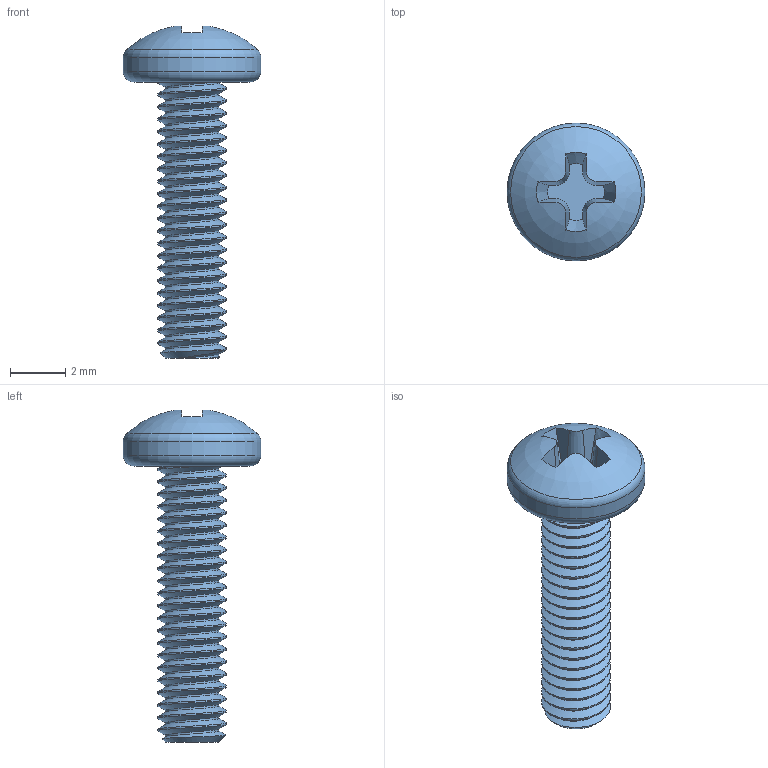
import cadquery as cq
import math


head_radius = 2.5
head_height = 2.1
dome_radius = 3.5
edge_radius = 0.4

major_radius = 1.25
pitch = 0.45
shank_length = 10.0
thread_half_angle = math.radians(30)
crest_width = pitch / 8
thread_depth = 0.6134 * pitch
root_radius = major_radius - thread_depth
crest_height_at_x = -pitch / 2
envelope_clearance = 0.1

recess_depth = 1.55
recess_floor = head_height - recess_depth
floor_half_width = 0.245
mouth_half_width = 0.365
mouth_height = 1.8
floor_tip_radius = 1.025
mouth_tip_radius = 1.44
corner_centre = 0.73
recess_top = head_height + 0.2


def taper(floor_size, mouth_size, z):
    """Size at height z of something that widens evenly from the floor to the dome edge."""
    slope = (mouth_size - floor_size) / (mouth_height - recess_floor)
    return floor_size + slope * (z - recess_floor)


def make_head():
    """Domed head: dome, edge round tangent to dome and rim, cylindrical rim, lower round."""
    dome_centre_z = head_height - dome_radius
    round_x = head_radius - edge_radius
    rise = math.sqrt((dome_radius - edge_radius) ** 2 - round_x**2)
    rim_top = dome_centre_z + rise
    dome_angle = math.atan2(rise, round_x)
    half_angle = dome_angle / 2
    dome_edge = (
        dome_radius * math.cos(dome_angle),
        dome_centre_z + dome_radius * math.sin(dome_angle),
    )
    edge_middle = (
        round_x + edge_radius * math.cos(half_angle),
        rim_top + edge_radius * math.sin(half_angle),
    )
    dome_middle_angle = (dome_angle + math.pi / 2) / 2
    dome_middle = (
        dome_radius * math.cos(dome_middle_angle),
        dome_centre_z + dome_radius * math.sin(dome_middle_angle),
    )
    lower_inset = edge_radius * (1 - math.sqrt(0.5))
    return (
        cq.Workplane("XZ")
        .lineTo(round_x, 0)
        .threePointArc((head_radius - lower_inset, lower_inset), (head_radius, edge_radius))
        .lineTo(head_radius, rim_top)
        .threePointArc(edge_middle, dome_edge)
        .threePointArc(dome_middle, (0, head_height))
        .close()
        .revolve(360, (0, 0, 0), (0, 1, 0))
    )


def quarter_turned(x, y, quarters):
    """The point (x, y) turned about the origin by a number of quarter turns."""
    for _ in range(quarters):
        x, y = -y, x
    return (x, y)


def cross_outline(z):
    """Four wings at height z, with a round in each of the inner corners."""
    half_width = taper(floor_half_width, mouth_half_width, z)
    wing_end = 2 * mouth_tip_radius
    round_middle = corner_centre - (corner_centre - half_width) * math.sqrt(0.5)
    outline = cq.Workplane("XY", origin=(0, 0, z)).moveTo(wing_end, -half_width)
    for quarter in range(4):
        outline = (
            outline.lineTo(*quarter_turned(wing_end, half_width, quarter))
            .lineTo(*quarter_turned(corner_centre, half_width, quarter))
            .threePointArc(
                quarter_turned(round_middle, round_middle, quarter),
                quarter_turned(half_width, corner_centre, quarter),
            )
        )
        if quarter < 3:
            outline = outline.lineTo(*quarter_turned(half_width, wing_end, quarter))
    return outline.close().val()


def make_recess():
    """Tapered cross with its wing tips trimmed to a cone."""
    cross = cq.Solid.makeLoft([cross_outline(recess_floor), cross_outline(recess_top)], True)
    tip_cone = cq.Solid.makeCone(
        floor_tip_radius,
        taper(floor_tip_radius, mouth_tip_radius, recess_top),
        recess_top - recess_floor,
        pnt=cq.Vector(0, 0, recess_floor),
    )
    return cq.Workplane(cross).intersect(cq.Workplane(tip_cone))


def helix_edge(radius, z):
    """One right-handed turn of the thread helix, starting on the +X side at height z."""
    turn = cq.Wire.makeHelix(pitch, pitch, radius).Edges()[0]
    return turn.translate(cq.Vector(0, 0, z))


def make_threaded_rod():
    """Threaded rod longer than the shank at both ends, built as one closed skin."""
    flank_height = thread_depth * math.tan(thread_half_angle)
    crest_half = crest_width / 2
    ridge_half = crest_half + flank_height
    outline = [
        (root_radius, -ridge_half),
        (major_radius, -crest_half),
        (major_radius, crest_half),
        (root_radius, ridge_half),
        (root_radius, pitch - ridge_half),
    ]
    turns = math.ceil(shank_length / pitch) + 1
    start_z = crest_height_at_x - (turns - 1) * pitch

    faces = []
    for turn in range(turns):
        crest_z = start_z + turn * pitch
        edges = [helix_edge(radius, crest_z + height) for radius, height in outline]
        for lower, upper in zip(edges, edges[1:]):
            faces.append(cq.Face.makeRuledSurface(lower, upper))

    for crest_z in (start_z, start_z + turns * pitch):
        step_bottom = cq.Vector(0, 0, crest_z - ridge_half)
        step_top = step_bottom + cq.Vector(0, 0, pitch)
        axis_edge = cq.Edge.makeLine(step_bottom, step_top)
        faces.append(cq.Face.makeRuledSurface(axis_edge, helix_edge(root_radius, step_bottom.z)))
        step = [cq.Vector(radius, 0, crest_z + height) for radius, height in outline]
        step_wire = cq.Wire.makePolygon(step + [step_top, step_bottom], close=True)
        faces.append(cq.Face.makeFromWires(step_wire))

    return cq.Workplane(cq.Solid.makeSolid(cq.Shell.makeShell(faces)))


def make_shank():
    """Threaded shank, with a 45 degree chamfer at its tip down to the thread root."""
    envelope_radius = major_radius + envelope_clearance
    envelope = (
        cq.Workplane("XY")
        .circle(envelope_radius)
        .extrude(-shank_length)
        .faces("<Z")
        .chamfer(envelope_radius - root_radius)
    )
    return make_threaded_rod().intersect(envelope, clean=False)


result = make_head().cut(make_recess()).union(make_shank(), clean=False)